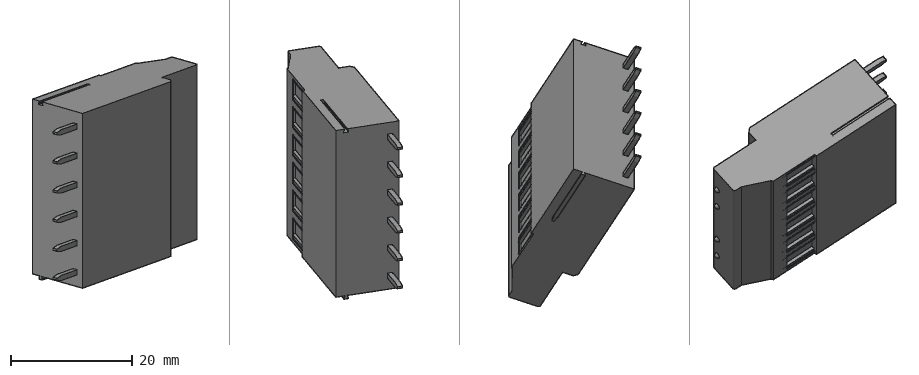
import cadquery as cq


poles = 6
total_width = 11.1
total_length = 37.0
total_height = 31.08
rail_depth = 0.6
pin_length = 5.0
dome_height = 0.48

body_height = total_height - rail_depth
pitch = body_height / poles
body_length = total_length - pin_length - dome_height

front_step_y = 16.55
front_step = 0.4
slope_edge_y = 25.15
bevel_x = 0.75
bevel_y = 25.4
slope_top_y = 30.0
nose_left_x = 2.78
nose_right_x = 8.55
nose_radius = 0.37
shoulder_y = 22.57
shoulder_chamfer = 0.63

window_height = 3.85
window_end_y = 22.35
window_depth = 0.2
ledge_height = 0.5
pocket_depth = 0.6
pocket_undercut = 0.75

joint_x = 1.8
joint_length = 11.9
rail_lead = 0.95
neck_width = 0.45
rail_head_width = 0.75
groove_head_width = 0.9
head_thickness = 0.22
groove_clearance = 0.05

pin_x = 9.47
pin_size = 0.9
pin_taper = 1.0
pin_tip_height = 0.37

dome_x = 7.25
dome_radius = 0.55
dome_levels = (1, 2, 4, 5)


def make_box(x_range, y_range, z_range):
    """Box spanning the given (low, high) ranges."""
    (x0, x1), (y0, y1), (z0, z1) = x_range, y_range, z_range
    return cq.Workplane("XY").box(x1 - x0, y1 - y0, z1 - z0, centered=False).translate((x0, y0, z0))


def make_housing():
    """Constant cross-section of the housing with a rounded nose."""
    outline = [
        (0, 0),
        (total_width, 0),
        (total_width, shoulder_y - shoulder_chamfer),
        (total_width - shoulder_chamfer, shoulder_y),
        (nose_right_x, shoulder_y),
        (nose_right_x, body_length),
        (nose_left_x, body_length),
        (nose_left_x, slope_top_y),
        (bevel_x, bevel_y),
        (front_step, slope_edge_y),
        (front_step, front_step_y),
        (0, front_step_y),
    ]
    housing = cq.Workplane("XY").polyline(outline).close().extrude(body_height)
    return housing.faces(">Y").edges("|Z").fillet(nose_radius)


def make_window(center_z):
    """Shallow window with a deeper pocket that runs on behind its end."""
    window_floor_x = front_step + window_depth
    half_window = window_height / 2
    half_pocket = half_window - ledge_height
    window = make_box(
        (0, window_floor_x),
        (front_step_y, window_end_y),
        (center_z - half_window, center_z + half_window),
    )
    pocket = make_box(
        (window_floor_x, window_floor_x + pocket_depth),
        (front_step_y, window_end_y + pocket_undercut),
        (center_z - half_pocket, center_z + half_pocket),
    )
    return window.union(pocket)


def make_dovetail(top_z, depth, head_width, length):
    """Dovetail hanging down from top_z, starting at the pin face."""
    half_neck = neck_width / 2
    half_head = head_width / 2
    head_z = top_z - depth + head_thickness
    bottom_z = top_z - depth
    outline = [
        (joint_x - half_neck, top_z),
        (joint_x - half_head, head_z),
        (joint_x - half_head, bottom_z),
        (joint_x + half_head, bottom_z),
        (joint_x + half_head, head_z),
        (joint_x + half_neck, top_z),
    ]
    return cq.Workplane("XZ").polyline(outline).close().extrude(-length)


def make_rail():
    """Dovetail rail under the housing with a narrow lead at its inner end."""
    head = make_dovetail(0, rail_depth, rail_head_width, joint_length - rail_lead)
    lead = make_box(
        (joint_x - neck_width / 2, joint_x + neck_width / 2),
        (0, joint_length),
        (-rail_depth, 0),
    )
    return head.union(lead)


def make_pin(center_z):
    """Square pin whose tip tapers in height only."""
    half_size = pin_size / 2
    half_tip = pin_tip_height / 2
    taper_y = pin_taper - pin_length
    outline = [
        (0, center_z - half_size),
        (taper_y, center_z - half_size),
        (-pin_length, center_z - half_tip),
        (-pin_length, center_z + half_tip),
        (taper_y, center_z + half_size),
        (0, center_z + half_size),
    ]
    pin = cq.Workplane("YZ").polyline(outline).close().extrude(pin_size)
    return pin.translate((pin_x - half_size, 0, 0))


result = make_housing()

for pole in range(poles):
    pole_z = (pole + 0.5) * pitch
    result = result.cut(make_window(pole_z)).union(make_pin(pole_z))

result = result.cut(make_dovetail(body_height, rail_depth + groove_clearance, groove_head_width, joint_length))
result = result.union(make_rail())

dome_center_y = total_length - pin_length - dome_radius
for level in dome_levels:
    dome = cq.Workplane("XY").sphere(dome_radius).translate((dome_x, dome_center_y, level * pitch))
    result = result.union(dome)